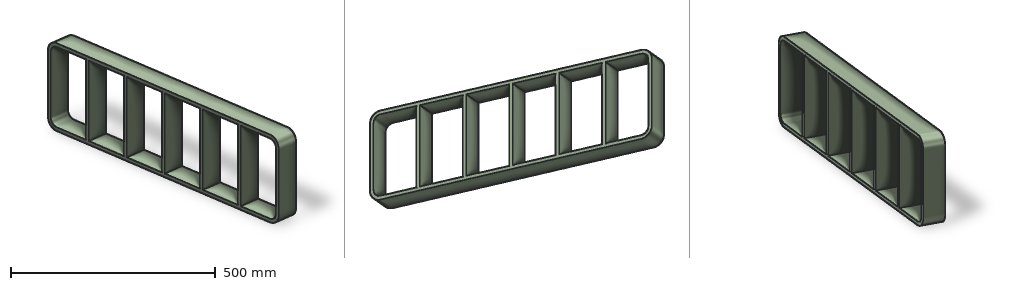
import cadquery as cq

length = 793.0
depth = 60.0
height = 238.0
wall = 10.0
corner_radius = 30.0

bay_count = 6
divider_thickness = 10.0

inner_length = length - 2 * wall
inner_height = height - 2 * wall
bay_width = (inner_length - (bay_count - 1) * divider_thickness) / bay_count
divider_pitch = bay_width + divider_thickness


def rounded_block(size_x, size_z, radius):
    """Block centred on the origin with its four Y-direction edges rounded."""
    return cq.Workplane("XY").box(size_x, depth, size_z).edges("|Y").fillet(radius)


outer = rounded_block(length, height, corner_radius)
opening = rounded_block(inner_length, inner_height, corner_radius - wall)
result = outer.cut(opening)

for index in range(1, bay_count):
    divider_x = (index - bay_count / 2) * divider_pitch
    divider = cq.Workplane("XY").box(divider_thickness, depth, height - wall)
    result = result.union(divider.translate((divider_x, 0, 0)))